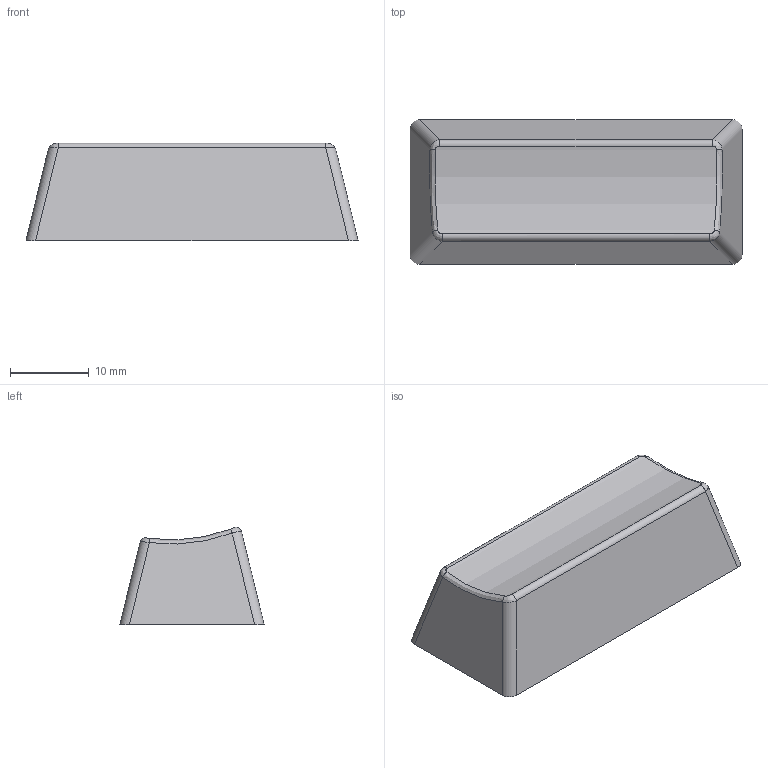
import cadquery as cq

base_length = 42.11
base_width = 18.3
wall_draft = 13.7

corner_radius = 1.25
lip_radius = 0.7

dish_radius = 21.0
dish_low_y = 2.6
dish_low_z = 10.76

blank_height = 16.0


def tapered_blank():
    """Solid with four sloping walls and rounded slanted corners."""
    blank = cq.Workplane("XY").rect(base_length, base_width).extrude(blank_height, taper=wall_draft)
    slanted_edges = blank.edges("not(#Z)")
    return slanted_edges.fillet(corner_radius)


def dish_cutter():
    """Cylinder that hollows the top, running past both ends of the part."""
    return (
        cq.Workplane("YZ")
        .center(dish_low_y, dish_low_z + dish_radius)
        .circle(dish_radius)
        .extrude(base_length, both=True)
    )


def round_lip(body):
    """Round the rim where the dish meets the walls and corners."""
    dish_face = body.faces("%CYLINDER").faces(">Z")
    return dish_face.edges().fillet(lip_radius)


dished_body = tapered_blank().cut(dish_cutter())
result = round_lip(dished_body)